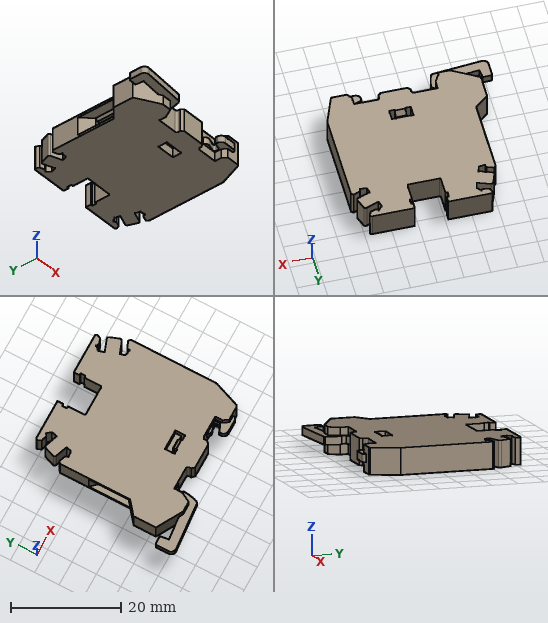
import cadquery as cq
import math


thickness = 5.05
body_half_width = 13.52
top_y = 26.6

slot_half_width = 3.1
slot_bottom_y = 20.87
slot_corner_radius = 0.22
slot_notch_half_width = 3.53
slot_notch_low_y = 24.4
slot_notch_high_y = 25.4

nose_radius = 0.32

arm_tilt = 20
arm_corner_radius = 0.4
arm_root_x, arm_root_y = 9.15, 23.5
arm_length = 3.0
arm_width = 2.75
arm_groove_offset = 0.05

shoulder_y = 6.05
shoulder_drop = 2.05
shoulder_width = 2.55
left_foot_x = -body_half_width - shoulder_width

left_seat_x = -7.85
right_seat_x = 7.77
pad_half_width = 3.02
pad_depth = 1.4
pad_chamfer = 0.5
pad_root_radius = 0.48

clip_bottom_z = 2.02
clip_top_z = 3.53
clip_height = clip_top_z - clip_bottom_z
heel_radius = 1.03
toe_radius = 0.32
throat_radius = 0.4
hook_corner_radius = 1.03
hook_heel_radius = 0.5

pocket_top_y = 14.55
pocket_hole_top_y = 12.15
pocket_mouth_depth = 2.15
pocket_flare = 0.5
pocket_hole_depth = 0.6
pocket_wall = 0.55

window_half_width = 2.02
window_low_y = 3.1
window_high_y = 5.1
web_low_y = 3.9
tab_half_width = 1.0
tab_flat_end_y = 3.28
tab_tip_y = 4.05
tab_tip_z = 4.0


def prism(points, bottom_z, height):
    """Closed polygon in XY, extruded upward from bottom_z."""
    return cq.Workplane("XY").workplane(offset=bottom_z).polyline(points).close().extrude(height)


def fillet_at(solid, points, radius):
    """Round the upright edges that pass through the given XY points."""
    pick_margin = 0.03
    for x, y in points:
        low_corner = (x - pick_margin, y - pick_margin, 0)
        high_corner = (x + pick_margin, y + pick_margin, thickness)
        selector = cq.selectors.BoxSelector(low_corner, high_corner)
        solid = solid.edges("|Z").edges(selector).fillet(radius)
    return solid


def along_arm(x, y, out, up):
    """Point reached from (x, y) by moving along and across the tilted right arm."""
    tilt = math.radians(arm_tilt)
    return (
        x + out * math.cos(tilt) - up * math.sin(tilt),
        y + out * math.sin(tilt) + up * math.cos(tilt),
    )


def make_body():
    arm_tip_top = along_arm(arm_root_x, arm_root_y, arm_length, 0)
    arm_tip_bottom = along_arm(arm_root_x, arm_root_y, arm_length, -arm_width)
    arm_root_bottom = along_arm(arm_root_x, arm_root_y, arm_groove_offset, -arm_width)
    nose_top = (11.62, top_y)
    nose_bottom = (11.15, 25.5)
    right_side = [
        (slot_half_width, slot_bottom_y),
        (slot_half_width, slot_notch_low_y),
        (slot_notch_half_width, slot_notch_low_y),
        (slot_notch_half_width, slot_notch_high_y),
        (slot_half_width, slot_notch_high_y),
        (slot_half_width, top_y),
        nose_top,
        nose_bottom,
        (10.1, 25.17),
        (9.7, 25.3),
        (9.57, 25.5),
        (8.85, 24.63),
        (arm_root_x, arm_root_y),
        arm_tip_top,
        arm_tip_bottom,
        arm_root_bottom,
        (10.45, 19.9),
        (11.7, 19.7),
        (11.7, 20.07),
        (11.85, 20.33),
        (13.13, 20.8),
        (body_half_width, 20.42),
    ]
    right_foot = [
        (body_half_width, 2.85),
        (11.55, -2.35),
        (11.3, -2.5),
        (8.48, -2.5),
        (right_seat_x, -1.48),
        (right_seat_x, 0),
    ]
    pad = [
        (pad_half_width, 0),
        (pad_half_width, pad_chamfer - pad_depth),
        (pad_half_width - pad_chamfer, -pad_depth),
    ]
    left_foot = [
        (left_seat_x, 0),
        (left_seat_x, -1.55),
        (-8.93, -3.5),
        (-11.0, -3.5),
        (left_foot_x, -0.6),
        (left_foot_x, shoulder_y - shoulder_drop),
        (-body_half_width, shoulder_y),
    ]
    mirrored_pad = [(-x, y) for x, y in reversed(pad)]
    left_side = [(-x, y) for x, y in reversed(right_side)]
    body = prism(right_side + right_foot + pad + mirrored_pad + left_foot + left_side, 0, thickness)

    for side in (-1, 1):
        arm_tips = [(side * x, y) for x, y in (arm_tip_top, arm_tip_bottom)]
        nose_tip = (side * nose_top[0], nose_top[1])
        body = fillet_at(body, arm_tips, arm_corner_radius)
        body = fillet_at(body, [nose_tip], nose_radius)
        body = fillet_at(body, [(side * slot_half_width, slot_bottom_y)], slot_corner_radius)
        body = fillet_at(body, [(side * pad_half_width, 0)], pad_root_radius)
    return body


def make_pocket():
    """Pocket shape: its plan in XY crossed with its tapered section in XZ."""
    mouth_x = -body_half_width + pocket_mouth_depth
    hole_x = mouth_x + pocket_flare
    end_x = hole_x + pocket_hole_depth
    hole_low_y = shoulder_y + (hole_x + body_half_width) * shoulder_drop / shoulder_width
    plan = prism(
        [
            (-body_half_width, pocket_top_y),
            (mouth_x, pocket_hole_top_y),
            (end_x, pocket_hole_top_y),
            (end_x, hole_low_y),
            (hole_x, hole_low_y),
            (-body_half_width, shoulder_y),
        ],
        0,
        thickness,
    )
    hole_wall = pocket_wall + pocket_flare
    section = (
        cq.Workplane("XZ")
        .polyline(
            [
                (-body_half_width, pocket_wall),
                (mouth_x, pocket_wall),
                (hole_x, hole_wall),
                (end_x, hole_wall),
                (end_x, thickness - hole_wall),
                (hole_x, thickness - hole_wall),
                (mouth_x, thickness - pocket_wall),
                (-body_half_width, thickness - pocket_wall),
            ]
        )
        .close()
        .extrude(-pocket_top_y)
    )
    return plan.intersect(section)


def make_window():
    """Through window, less the clip web that crosses it and the sloping snap tab."""
    height = window_high_y - window_low_y
    window = cq.Workplane("XY").rect(2 * window_half_width, height).extrude(thickness)
    window = window.translate((0, (window_low_y + window_high_y) / 2, 0))
    web = prism(
        [
            (-window_half_width, window_high_y),
            (-window_half_width, web_low_y),
            (-1.25, web_low_y),
            (-0.93, 3.5),
            (0.95, 3.28),
            (1.22, web_low_y),
            (window_half_width, web_low_y),
            (window_half_width, window_high_y),
        ],
        clip_bottom_z,
        clip_height,
    )
    tab = (
        cq.Workplane("YZ")
        .polyline(
            [
                (window_low_y, clip_bottom_z),
                (tab_tip_y, clip_bottom_z),
                (tab_tip_y, tab_tip_z),
                (tab_flat_end_y, thickness),
                (window_low_y, thickness),
            ]
        )
        .close()
        .extrude(tab_half_width, both=True)
    )
    return window.cut(web).cut(tab)


def clip_profile(start):
    """Outline pen for a part of the clip, placed at its lower side."""
    return cq.Workplane("XY").workplane(offset=clip_bottom_z).moveTo(*start)


def make_clip_foot():
    """Long release lever below the left foot."""
    heel = (-18.5, -5.62)
    toe = (-18.5, -1.8)
    foot = (
        clip_profile(heel)
        .lineTo(-7.9, -4.7)
        .lineTo(-7.67, -4.45)
        .threePointArc((-7.25, -2.95), (-7.1, -1.45))
        .lineTo(-7.48, -1.45)
        .lineTo(-7.48, -0.5)
        .lineTo(-6.35, -0.13)
        .lineTo(-6.15, 0.1)
        .lineTo(-9.63, 0.1)
        .lineTo(-10.28, -2.9)
        .lineTo(-16.47, -3.5)
        .lineTo(-16.7, -1.73)
        .lineTo(*toe)
        .close()
        .extrude(clip_height)
    )
    foot = fillet_at(foot, [heel], heel_radius)
    return fillet_at(foot, [toe], toe_radius)


def make_clip_hook():
    """Fixed hook below the right foot, with the spring bump beside it."""
    throat_top = (7.55, 0.1)
    throat_bottom = (7.55, -1.2)
    hook_corner = (5.95, -3.18)
    hook_heel = (9.85, -3.18)
    hook = (
        clip_profile((4.45, 0.15))
        .lineTo(4.45, 0)
        .threePointArc((4.98, -0.45), (5.8, -0.48))
        .lineTo(*throat_top)
        .lineTo(*throat_bottom)
        .lineTo(5.95, -1.73)
        .lineTo(*hook_corner)
        .lineTo(*hook_heel)
        .lineTo(9.85, -1.93)
        .lineTo(8.35, 0.15)
        .close()
        .extrude(clip_height)
    )
    hook = fillet_at(hook, [throat_top, throat_bottom], throat_radius)
    hook = fillet_at(hook, [hook_corner], hook_corner_radius)
    return fillet_at(hook, [hook_heel], hook_heel_radius)


body = make_body().cut(make_pocket()).cut(make_window())
result = body.union(make_clip_foot()).union(make_clip_hook())